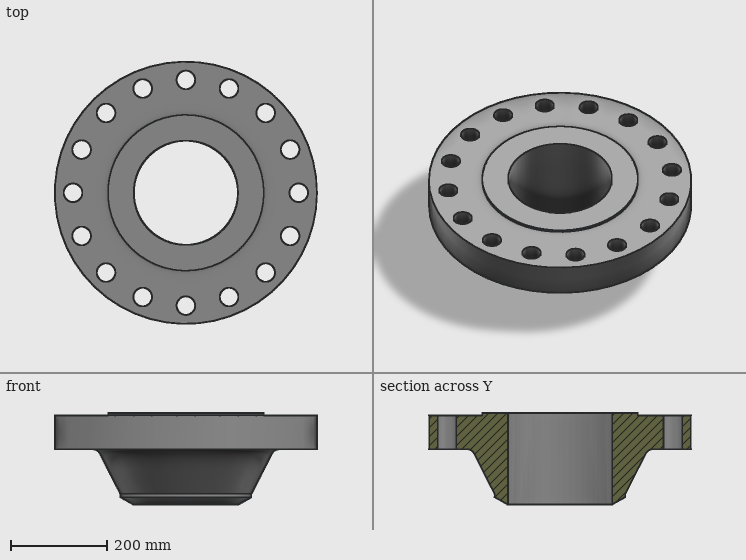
import cadquery as cq

flange_diameter = 546.0
flange_thickness = 71.0
flange_radius = flange_diameter / 2

face_diameter = 324.5
face_height = 5.0

total_height = 190.5
bore_diameter = 216.0
hub_radius = 183.5
hub_fillet = 16.5
neck_radius = 136.5
neck_land = 7.0
bevel_height = 15.5
bevel_tip_radius = 109.0

bolt_count = 16
bolt_circle_diameter = 469.5
bolt_hole_diameter = 38.0

flange_top = flange_thickness
neck_bottom = flange_thickness + face_height - total_height
land_bottom = neck_bottom + bevel_height
land_top = land_bottom + neck_land


def revolved_body():
    """Solid of revolution: neck, disc and raised face, without holes."""
    profile = (
        cq.Workplane("XZ")
        .moveTo(0, neck_bottom)
        .lineTo(bevel_tip_radius, neck_bottom)
        .lineTo(neck_radius, land_bottom)
        .lineTo(neck_radius, land_top)
        .lineTo(hub_radius, 0)
        .lineTo(flange_radius, 0)
        .lineTo(flange_radius, flange_top)
        .lineTo(face_diameter / 2, flange_top)
        .lineTo(face_diameter / 2, flange_top + face_height)
        .lineTo(0, flange_top + face_height)
        .close()
    )
    body = profile.revolve(360, (0, 0, 0), (0, 1, 0))
    smallest_circle = cq.selectors.RadiusNthSelector(0)
    underside = cq.selectors.BoxSelector(
        (-flange_diameter, -flange_diameter, -hub_fillet / 2),
        (flange_diameter, flange_diameter, hub_fillet / 2),
    )
    return body.edges("%CIRCLE").edges(underside).edges(smallest_circle).fillet(hub_fillet)


def vertical_cutter(diameter):
    """Vertical cylinder spanning the full height of the part."""
    return cq.Workplane("XY", origin=(0, 0, neck_bottom)).circle(diameter / 2).extrude(total_height)


def bolt_holes():
    """Ring of holes through the disc, starting on the +X axis."""
    return (
        cq.Workplane("XY")
        .polarArray(bolt_circle_diameter / 2, 0, 360, bolt_count)
        .circle(bolt_hole_diameter / 2)
        .extrude(flange_thickness)
    )


result = revolved_body().cut(vertical_cutter(bore_diameter)).cut(bolt_holes())